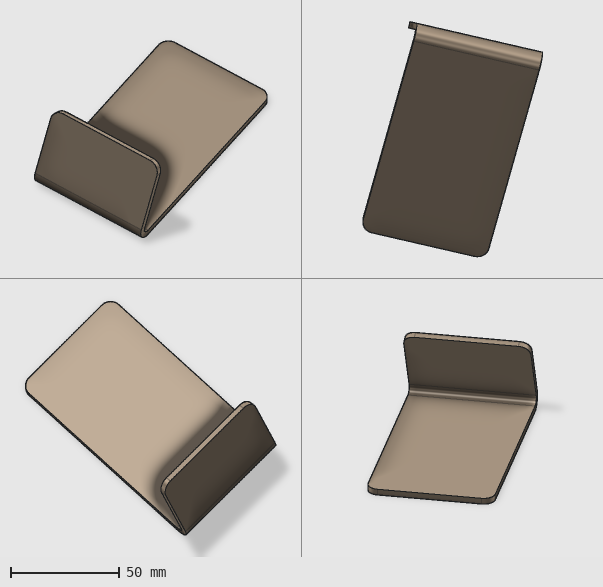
import cadquery as cq
import math

length = 106.0
width = 60.0
height = 40.3
thickness = 3.0
inner_bend_radius = 3.0
corner_radius = 5.5
lip_lean = 25.0

outer_bend_radius = inner_bend_radius + thickness
bend_y = outer_bend_radius
bend_z = outer_bend_radius
lean = math.radians(lip_lean)
lip_start_z = bend_z + outer_bend_radius * math.sin(lean)
lip_length = (height - lip_start_z) / math.cos(lean)


def bend_point(radius, angle, along_lip=0.0):
    """(Y, Z) at an angle above -Y around the bend, then a distance up the lip."""
    y = bend_y - radius * math.cos(angle) + along_lip * math.sin(lean)
    z = bend_z + radius * math.sin(angle) + along_lip * math.cos(lean)
    return (y, z)


def bent_plate():
    """Base, bend and lip swept across the full width, centred on X = 0."""
    base_angle = -math.pi / 2
    mid_angle = (base_angle + lean) / 2
    return (
        cq.Workplane("YZ")
        .moveTo(length, 0)
        .lineTo(bend_y, 0)
        .threePointArc(bend_point(outer_bend_radius, mid_angle), bend_point(outer_bend_radius, lean))
        .lineTo(*bend_point(outer_bend_radius, lean, lip_length))
        .lineTo(*bend_point(inner_bend_radius, lean, lip_length))
        .lineTo(*bend_point(inner_bend_radius, lean))
        .threePointArc(bend_point(inner_bend_radius, mid_angle), (bend_y, thickness))
        .lineTo(length, thickness)
        .close()
        .extrude(width / 2, both=True)
    )


lip_normal = cq.Vector(0, math.cos(lean), -math.sin(lean))
plate = bent_plate()
base_rounded = plate.faces(">Y").edges("|Z").fillet(corner_radius)
lip_corners = base_rounded.edges(cq.selectors.ParallelDirSelector(lip_normal)).edges(">Z")
result = lip_corners.fillet(corner_radius)